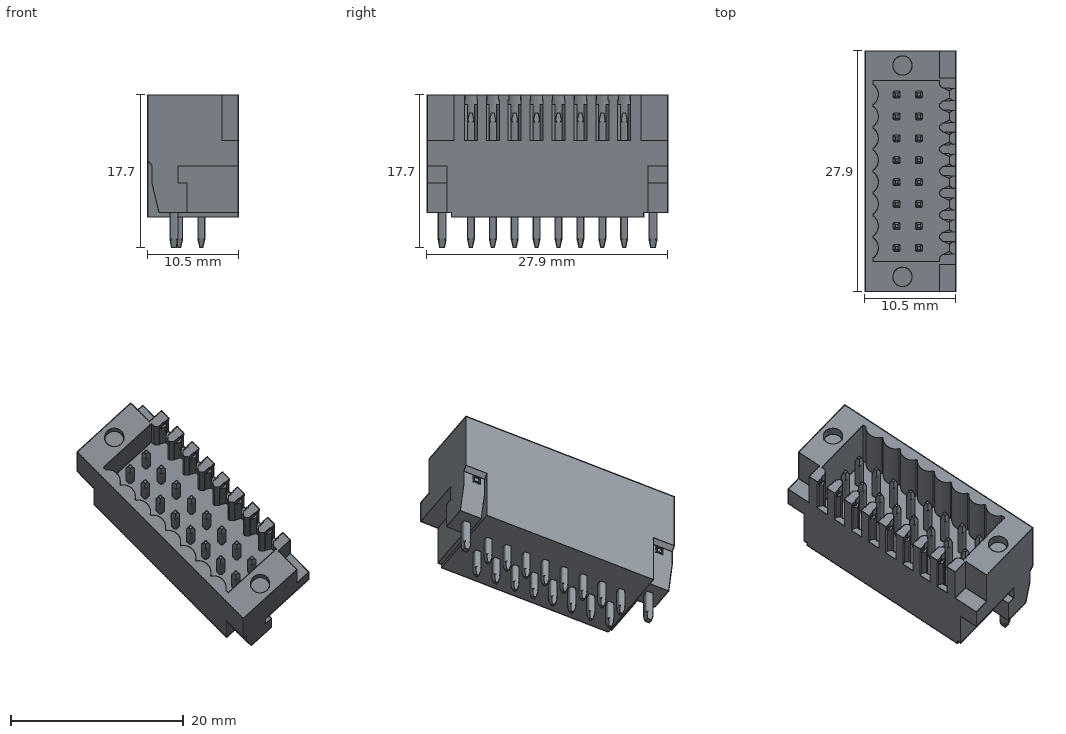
import cadquery as cq


length = 27.88
width = 10.5
height = 14.15
total_height = 17.7
middle_y = length / 2
pin_drop = total_height - height

positions = 8
pitch = 2.55
row_spacing = 2.56
first_row_x = 3.65
row_xs = [first_row_x, first_row_x + row_spacing]
pin_ys = [middle_y + (i - (positions - 1) / 2) * pitch for i in range(positions)]

pin_width = 0.8
pin_tip_width = 0.33
pin_top_depth = 2.12
anchor_width = 0.95
anchor_tip_width = 0.55
tip_length = 1.03
corner_ratio = 0.25
anchor_x = 3.05
anchor_inset = 1.73
anchor_embed = 2.8
tip_pocket_z = 5.45

cavity_x0 = 0.92
cavity_x1 = 8.6
cavity_end_wall = 3.45
cavity_depth = 7.3
bump_height = 0.6
bump_half_width = 1.17

slot_half_width = 0.75
slot_mouth_half_width = 1.15
slot_mouth_length = 0.4
slot_sill_x = 9.75
slot_depth = 5.3
tab_thickness = 0.07
tab_height = 0.6
rib_start_x = 9.1
rib_end_x = 10.2
rib_height = 0.33
rib_top_depth = 1.15

corner_notch_length = 3.12
corner_notch_depth = 5.3
hole_x = 4.32
hole_inset = 1.7
hole_diameter = 2.23
hole_depth = 1.23
foot_length = 2.8
foot_clearance = 0.5
foot_setback = 0.5
foot_chamfer_top_z = 6.52
foot_chamfer_bottom_z = 6.0
foot_taper_z = 3.93
foot_toe_x = 1.3
recess_depth = 2.31
recess_top_z = 5.95
recess_step_z = 3.93
recess_upper_x = 3.55
recess_lower_x = 4.55


def box(x0, x1, y0, y1, z0, z1):
    return cq.Workplane("XY").box(x1 - x0, y1 - y0, z1 - z0, centered=False).translate((x0, y0, z0))


def prism(points, z0, z1):
    """Vertical prism over an XY outline."""
    return cq.Workplane("XY").workplane(offset=z0).polyline(points).close().extrude(z1 - z0)


def both_ends(shape):
    """The shape at the low-Y end together with its mirror image at the high-Y end."""
    return shape.union(shape.mirror("XZ", (0, middle_y, 0)))


def tip(base_width, end_width):
    """Square frustum standing on Z = 0."""
    return (
        cq.Workplane("XY").rect(base_width, base_width)
        .workplane(offset=tip_length).rect(end_width, end_width).loft()
    )


def pin(total, base_width, end_width):
    """Round-cornered square pin from Z = 0 up to a tapered tip at Z = total."""
    shaft_length = total - tip_length
    shaft = cq.Workplane("XY").rect(base_width, base_width).extrude(total)
    shaft = shaft.edges("|Z").fillet(corner_ratio * base_width)
    taper = tip(base_width, end_width).translate((0, 0, shaft_length))
    envelope = cq.Workplane("XY").rect(base_width, base_width).extrude(shaft_length).union(taper)
    return shaft.intersect(envelope)


def cavity():
    floor_z = height - cavity_depth
    pocket = box(cavity_x0, cavity_x1, cavity_end_wall, length - cavity_end_wall, floor_z, height)
    for y in pin_ys:
        bump = (
            cq.Workplane("XY").workplane(offset=floor_z)
            .moveTo(cavity_x0, y - bump_half_width)
            .threePointArc((cavity_x0 + bump_height, y), (cavity_x0, y + bump_half_width))
            .close().extrude(cavity_depth)
        )
        pocket = pocket.cut(bump)
    return pocket


def wall_slot():
    """Slot centred on Y = 0, with a rib and a top tab left standing on each flank."""
    floor_z = height - cavity_depth
    neck_x = cavity_x1 + slot_mouth_length
    outline = [
        (cavity_x1, -slot_mouth_half_width),
        (neck_x, -slot_half_width),
        (width, -slot_half_width),
        (width, slot_half_width),
        (neck_x, slot_half_width),
        (cavity_x1, slot_mouth_half_width),
    ]
    slot = prism(outline, floor_z, height)
    sill = box(slot_sill_x, width, -slot_half_width, slot_half_width, floor_z, height - slot_depth)
    slot = slot.cut(sill)
    for side in (-1, 1):
        flank = side * slot_half_width
        rib = [
            (rib_start_x, flank),
            (slot_sill_x, flank - side * rib_height),
            (rib_end_x, flank),
        ]
        slot = slot.cut(prism(rib, floor_z, height - rib_top_depth))
        tab_edges = sorted((flank, flank - side * tab_thickness))
        slot = slot.cut(box(slot_sill_x, width, *tab_edges, height - tab_height, height))
    return slot


def end_cuts():
    """Everything removed from the low-Y end block."""
    notch = box(cavity_x1, width, 0, corner_notch_length, height - corner_notch_depth, height)
    hole = (
        cq.Workplane("XY").circle(hole_diameter / 2).extrude(hole_depth)
        .translate((hole_x, hole_inset, height - hole_depth))
    )
    foot_face = (
        cq.Workplane("XZ")
        .polyline([
            (0, 0),
            (width, 0),
            (width, foot_clearance),
            (foot_toe_x, foot_clearance),
            (foot_setback, foot_taper_z),
            (foot_setback, foot_chamfer_bottom_z),
            (0, foot_chamfer_top_z),
        ])
        .close().extrude(-foot_length)
    )
    recess = box(recess_lower_x, width, 0, recess_depth, 0, recess_top_z)
    undercut = box(recess_upper_x, width, 0, recess_depth, recess_step_z, recess_top_z)
    return notch.union(hole).union(foot_face).union(recess).union(undercut)


def anchor_tip_pocket():
    """Square pocket in the foot face holding the tapered end of the anchor pin."""
    pocket = cq.Workplane("XY").rect(anchor_width, anchor_width).extrude(tip_length)
    pocket = pocket.cut(tip(anchor_width, anchor_tip_width))
    return (
        pocket.rotate((0, 0, 0), (0, 1, 0), -90)
        .translate((foot_setback + tip_length, anchor_inset, tip_pocket_z))
    )


housing = box(0, width, 0, length, 0, height)
housing = housing.cut(cavity())
for y in pin_ys:
    housing = housing.cut(wall_slot().translate((0, y, 0)))
housing = housing.cut(both_ends(end_cuts().union(anchor_tip_pocket())))

contact_top = height - pin_top_depth
upper_pin = pin(contact_top, pin_width, pin_tip_width)
lower_pin = pin(pin_drop, pin_width, pin_tip_width).mirror("XY")
contact = upper_pin.union(lower_pin)
for x in row_xs:
    for y in pin_ys:
        housing = housing.union(contact.translate((x, y, 0)))

anchor = pin(pin_drop + anchor_embed, anchor_width, anchor_tip_width).mirror("XY")
anchor = anchor.translate((anchor_x, anchor_inset, anchor_embed))
result = housing.union(both_ends(anchor))